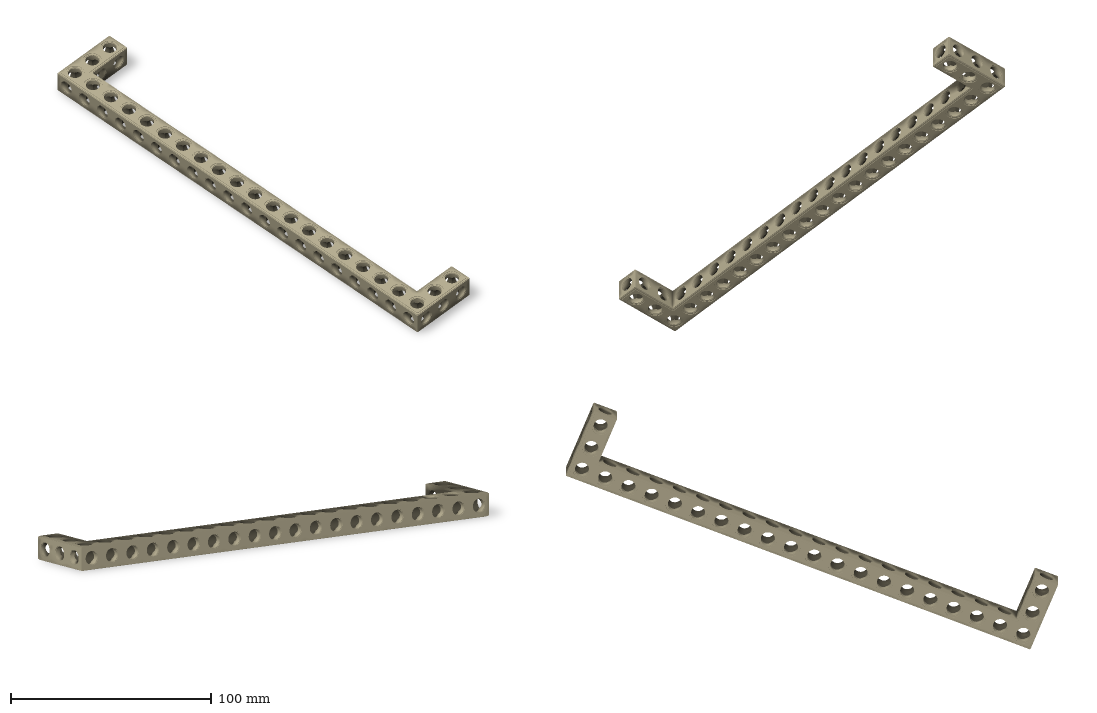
import cadquery as cq
pitch = 12.5
long_count = 20
arm_count = 3
hole_diameter = 7.0
wide_recess_diameter = 9.2
rim_step = 0.3
step_depth = 0.2

length = long_count * pitch
depth = arm_count * pitch
height = pitch
half_length = length / 2
gap_length = length - 2 * pitch
hole_radius = hole_diameter / 2
rim_radius = hole_radius + rim_step
wide_recess_radius = wide_recess_diameter / 2
face_inset = wide_recess_radius - hole_radius

column_xs = [-half_length + (i + 0.5) * pitch for i in range(long_count)]
row_ys = [(j + 0.5) * pitch for j in range(arm_count)]
arm_xs = [column_xs[0], column_xs[-1]]
vertical_centers = [(x, row_ys[0]) for x in column_xs]
vertical_centers += [(x, y) for x in arm_xs for y in row_ys[1:]]


def make_layer(inset, layer_height):
    """U-shaped slab centred on Z = 0, its outline moved inward and its outer corners notched."""
    x_outer = half_length - inset
    x_inner = gap_length / 2 + inset
    y_front = inset
    y_inner = pitch - inset
    y_back = depth - inset
    corners = [(side * x_outer, y) for side in (-1, 1) for y in (y_front, y_back)]
    corners += [(side * x_inner, y_back) for side in (-1, 1)]
    slab = (
        cq.Workplane("XY")
        .polyline([
            (-x_outer, y_front), (x_outer, y_front), (x_outer, y_back), (x_inner, y_back),
            (x_inner, y_inner), (-x_inner, y_inner), (-x_inner, y_back), (-x_outer, y_back),
        ])
        .close()
        .extrude(layer_height / 2, both=True)
    )
    notches = (
        cq.Workplane("XY")
        .pushPoints(corners)
        .rect(2 * step_depth, 2 * step_depth)
        .extrude(layer_height / 2, both=True)
    )
    return slab.cut(notches)


def make_frame():
    """Full outline at mid height, stepping in twice toward the top and bottom faces."""
    core = make_layer(0, height - 4 * step_depth)
    rim = make_layer(rim_step, height - 2 * step_depth)
    face = make_layer(face_inset, height)
    return core.union(rim).union(face)


def make_hole(hole_length, mouth_radii):
    """Through-hole cutter standing on Z = 0; mouth radii run inward from each end, one per step."""
    cutter = cq.Workplane("XY").circle(hole_radius).extrude(hole_length)
    for step, radius in enumerate(mouth_radii):
        inset = step * step_depth
        for z in (inset, hole_length - inset - step_depth):
            cutter = cutter.union(
                cq.Workplane("XY", origin=(0, 0, z)).circle(radius).extrude(step_depth)
            )
    return cutter


def make_vertical_holes():
    hole = make_hole(height, [wide_recess_radius, rim_radius])
    return [hole.translate((x, y, -height / 2)) for x, y in vertical_centers]


def make_y_holes():
    """Short holes through the bar, and holes running the whole length of each arm."""
    x_axis = ((0, 0, 0), (1, 0, 0))
    bar_hole = make_hole(pitch, [rim_radius]).rotate(*x_axis, -90)
    arm_hole = make_hole(depth, [rim_radius]).rotate(*x_axis, -90)
    holes = [bar_hole.translate((x, 0, 0)) for x in column_xs[1:-1]]
    return holes + [arm_hole.translate((x, 0, 0)) for x in arm_xs]


def make_x_holes():
    """One hole running the whole length of the bar, and short holes through each arm."""
    y_axis = ((0, 0, 0), (0, 1, 0))
    bar_hole = make_hole(length, [rim_radius]).rotate(*y_axis, 90)
    arm_hole = make_hole(pitch, [rim_radius]).rotate(*y_axis, 90)
    holes = [bar_hole.translate((-half_length, row_ys[0], 0))]
    for x in arm_xs:
        holes += [arm_hole.translate((x - pitch / 2, y, 0)) for y in row_ys[1:]]
    return holes


cutters = make_vertical_holes() + make_y_holes() + make_x_holes()
body = make_frame().val().cut(*[cutter.val() for cutter in cutters])
result = cq.Workplane(obj=body.Solids()[0])